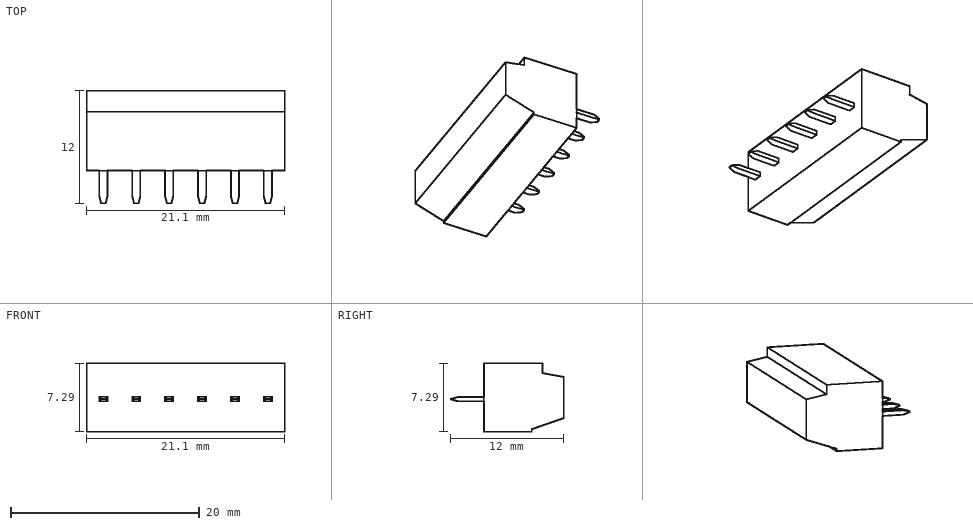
import cadquery as cq

body_length = 21.08
body_depth = 8.51
body_height = 7.29

upper_step_depth = 2.26
upper_shoulder_height = 6.25
upper_back_height = 5.84

lower_step_depth = 3.4
lower_riser_height = 0.26
lower_back_height = 1.44

pin_count = 6
pin_pitch = 3.5
first_pin_inset = 1.77
pin_height = 3.47
pin_width = 0.89
pin_thickness = 0.48
pin_length = 3.5
tip_length = 0.76
tip_width = 0.5
tip_thickness = 0.07


def make_body():
    """Stepped block with its pin face on the plane Y = 0, centred on X = 0."""
    upper_step_y = body_depth - upper_step_depth
    lower_step_y = body_depth - lower_step_depth
    profile = [
        (0, 0),
        (lower_step_y, 0),
        (lower_step_y, lower_riser_height),
        (body_depth, lower_back_height),
        (body_depth, upper_back_height),
        (upper_step_y, upper_shoulder_height),
        (upper_step_y, body_height),
        (0, body_height),
    ]
    return cq.Workplane("YZ").polyline(profile).close().extrude(body_length / 2, both=True)


def make_pin(pin_x):
    """Rectangular pin with a tapered tip, starting at the pin face of the body."""
    shank_length = pin_length - tip_length
    root = cq.Workplane("XZ", origin=(pin_x, 0, pin_height))
    shank = root.rect(pin_width, pin_thickness).extrude(shank_length)
    tip = (
        root.workplane(offset=shank_length)
        .rect(pin_width, pin_thickness)
        .workplane(offset=tip_length)
        .rect(tip_width, tip_thickness)
        .loft(ruled=True)
    )
    return shank.union(tip)


result = make_body()
first_pin_x = first_pin_inset - body_length / 2
for index in range(pin_count):
    result = result.union(make_pin(first_pin_x + index * pin_pitch))